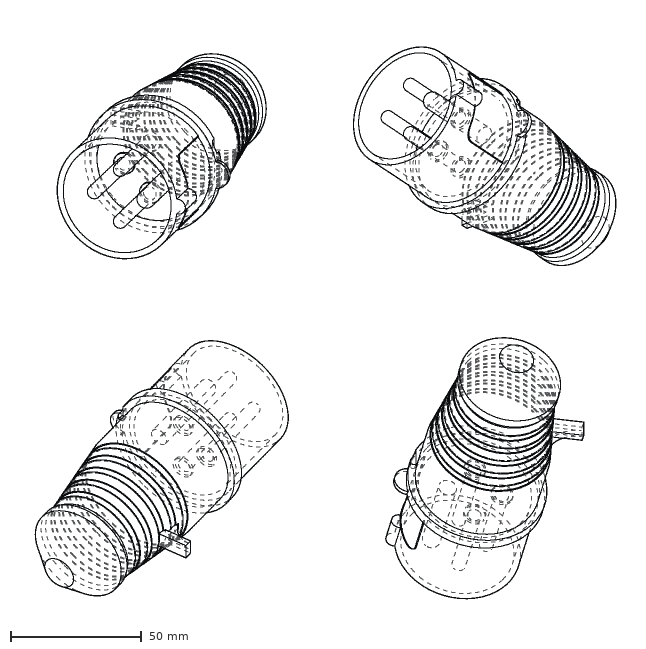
import cadquery as cq
import math

LENGTH = 122.5
MOUTH_Y = -LENGTH / 2
REAR_Y = LENGTH / 2

SHELL_RADIUS = 49.2 / 2
CAVITY_RADIUS = 44.2 / 2
FLANGE_RADIUS = 54.3 / 2
FLANGE_START_Y = MOUTH_Y + 36.5
FLANGE_THICKNESS = 5.0
FLANGE_END_Y = FLANGE_START_Y + FLANGE_THICKNESS
CAVITY_DEPTH = 36.5

RELIEF_RADIUS = 48.5 / 2
RELIEF_WIDTH = 29.9
RELIEF_START_Y = MOUTH_Y + 12.2
RELIEF_CORNER_RADIUS = 4.3

KEY_RADIUS = 3.1
KEY_TIP_X = 27.9
KEY_LENGTH = 12.0
TAB_RADIUS = 5.5
TAB_TIP_X = 31.7
TAB_THICKNESS = 2.0

NOTCH_INNER_X = 24.0
NOTCH_OUTER_X = 26.0
NOTCH_LENGTH = 2.6
NOTCH_FLOOR_Z = 5.5
NOTCH_CORNER_RADIUS = 0.6

PIN_CIRCLE_RADIUS = 10.7
PHASE_PIN_TIP_Y = MOUTH_Y + 1.5
PHASE_PIN_DIAMETER = 5.3
EARTH_PIN_DIAMETER = 7.0
EARTH_PIN_TIP_Y = MOUTH_Y + 0.5
PIN_FLAT_DIAMETER = 2.1
PHASE_PIN_ANGLES = (90, 180, 270)
EARTH_PIN_ANGLE = 0
PIN_COLLAR_DIAMETER = 8.5
PIN_COLLAR_HEIGHT = 1.2

HANDLE_RADIUS = 48.5 / 2
GRIP_START_Y = MOUTH_Y + 64.1
GRIP_END_Y = MOUTH_Y + 103.3
GRIP_END_RADIUS = 18.9
GROOVE_COUNT = 5
GROOVE_FIRST_Y = MOUTH_Y + 68.6
GROOVE_PITCH = 6.9
GROOVE_WIDTH = 2.7
GROOVE_DEPTH = 0.43
REAR_COLLAR_RADIUS = 39.5 / 2
REAR_COLLAR_START_Y = MOUTH_Y + 105.1
REAR_COLLAR_END_Y = MOUTH_Y + 109.1
REAR_TIP_RADIUS = 6.6

ARM_TIP_X = -33.3
ARM_START_Y = MOUTH_Y + 81.5
ARM_THICKNESS = 3.3
ARM_HEIGHT = 6.4
ARM_CENTRE_Z = -1.1
ARM_ROOT_X = -17.2
WEB_THICKNESS = 2.8
WEB_ARC_RADIUS = 10.4
WEB_ARC_CENTRE_X = -32.8


def cylinder(radius, start_y, length, x=0.0, z=0.0):
    """Solid cylinder along +Y."""
    return cq.Workplane("XZ", origin=(x, start_y, z)).circle(radius).extrude(-length)


def block(x_min, x_max, y_min, y_max, height, centre_z=0.0):
    """Box given by its X and Y limits, centred on centre_z."""
    return (
        cq.Workplane("XY", origin=((x_min + x_max) / 2, (y_min + y_max) / 2, centre_z))
        .box(x_max - x_min, y_max - y_min, height)
    )


def lobe(radius, tip_x, start_y, length, root_x):
    """Round-ended lobe that reaches from root_x to tip_x."""
    centre_x = tip_x - radius
    web = block(root_x, centre_x, start_y, start_y + length, 2 * radius)
    return cylinder(radius, start_y, length, x=centre_x).union(web)


def shell_relief():
    """Thin curved pocket in the shell surface, with two rounded corners."""
    window = (
        block(0, FLANGE_RADIUS, RELIEF_START_Y, FLANGE_START_Y, RELIEF_WIDTH)
        .edges("|X and <Y")
        .fillet(RELIEF_CORNER_RADIUS)
    )
    length = FLANGE_START_Y - RELIEF_START_Y
    return window.cut(cylinder(RELIEF_RADIUS, RELIEF_START_Y, length))


def flange_notch():
    """Flat-floored pocket in the flange rim, with rounded inner corners."""
    height = FLANGE_RADIUS - NOTCH_FLOOR_Z
    centre_z = NOTCH_FLOOR_Z + height / 2
    start_y = FLANGE_END_Y - NOTCH_LENGTH
    notch = block(NOTCH_INNER_X, NOTCH_OUTER_X, start_y, FLANGE_END_Y, height, centre_z)
    return notch.edges("|Z and <Y").fillet(NOTCH_CORNER_RADIUS)


def pin(diameter, tip_y, angle):
    """Contact pin with a rounded nose that ends in a small flat."""
    nose = (diameter - PIN_FLAT_DIAMETER) / 2
    x = PIN_CIRCLE_RADIUS * math.cos(math.radians(angle))
    z = PIN_CIRCLE_RADIUS * math.sin(math.radians(angle))
    return cylinder(diameter / 2, tip_y, FLANGE_END_Y - tip_y, x, z).faces("<Y").edges().fillet(nose)


def pin_collar(angle):
    """Low round collar at the foot of a phase pin."""
    x = PIN_CIRCLE_RADIUS * math.cos(math.radians(angle))
    z = PIN_CIRCLE_RADIUS * math.sin(math.radians(angle))
    floor_y = MOUTH_Y + CAVITY_DEPTH
    return cylinder(PIN_COLLAR_DIAMETER / 2, floor_y - PIN_COLLAR_HEIGHT, PIN_COLLAR_HEIGHT, x, z)


def make_plug():
    """Front shell with its flange, notch, key, tab and pins."""
    plug = cylinder(SHELL_RADIUS, MOUTH_Y, FLANGE_START_Y - MOUTH_Y)
    plug = plug.cut(shell_relief())
    plug = plug.union(cylinder(FLANGE_RADIUS, FLANGE_START_Y, FLANGE_THICKNESS))
    plug = plug.cut(flange_notch())
    plug = plug.union(lobe(KEY_RADIUS, KEY_TIP_X, MOUTH_Y, KEY_LENGTH, CAVITY_RADIUS))
    plug = plug.union(lobe(TAB_RADIUS, TAB_TIP_X, FLANGE_START_Y, TAB_THICKNESS, CAVITY_RADIUS))
    plug = plug.cut(cylinder(CAVITY_RADIUS, MOUTH_Y, CAVITY_DEPTH))
    plug = plug.union(pin(EARTH_PIN_DIAMETER, EARTH_PIN_TIP_Y, EARTH_PIN_ANGLE))
    for angle in PHASE_PIN_ANGLES:
        plug = plug.union(pin_collar(angle))
        plug = plug.union(pin(PHASE_PIN_DIAMETER, PHASE_PIN_TIP_Y, angle))
    return plug


def grip_radius(y):
    """Radius of the tapered grip at a given Y."""
    taper = (HANDLE_RADIUS - GRIP_END_RADIUS) / (GRIP_END_Y - GRIP_START_Y)
    return HANDLE_RADIUS - taper * (y - GRIP_START_Y)


def handle_profile():
    """Half outline of the handle as (radius, y) points."""
    points = [
        (0, FLANGE_END_Y),
        (HANDLE_RADIUS, FLANGE_END_Y),
        (HANDLE_RADIUS, GRIP_START_Y),
    ]
    for index in range(GROOVE_COUNT):
        start_y = GROOVE_FIRST_Y + index * GROOVE_PITCH
        end_y = start_y + GROOVE_WIDTH
        points += [
            (grip_radius(start_y), start_y),
            (grip_radius(start_y) - GROOVE_DEPTH, start_y),
            (grip_radius(end_y) - GROOVE_DEPTH, end_y),
            (grip_radius(end_y), end_y),
        ]
    points += [
        (GRIP_END_RADIUS, GRIP_END_Y),
        (REAR_COLLAR_RADIUS, REAR_COLLAR_START_Y),
        (REAR_COLLAR_RADIUS, REAR_COLLAR_END_Y),
        (REAR_TIP_RADIUS, REAR_Y),
        (0, REAR_Y),
    ]
    return points


def catch_arm():
    """Flat arm carried by a web with a concave front edge."""
    arm = block(ARM_TIP_X, ARM_ROOT_X, ARM_START_Y, ARM_START_Y + ARM_THICKNESS, ARM_HEIGHT, ARM_CENTRE_Z)
    arc_centre_y = ARM_START_Y - WEB_ARC_RADIUS
    web = block(WEB_ARC_CENTRE_X, ARM_ROOT_X, arc_centre_y, ARM_START_Y, WEB_THICKNESS, ARM_CENTRE_Z)
    hollow = (
        cq.Workplane("XY", origin=(WEB_ARC_CENTRE_X, arc_centre_y, ARM_CENTRE_Z))
        .circle(WEB_ARC_RADIUS)
        .extrude(WEB_THICKNESS, both=True)
    )
    return arm.union(web.cut(hollow))


def make_handle():
    """Turned handle with a ribbed grip and the catch arm."""
    turned = cq.Workplane("XY").polyline(handle_profile()).close().revolve(360, (0, 0, 0), (0, 1, 0))
    return turned.union(catch_arm())


plug = make_plug()
handle = make_handle()

result = cq.Compound.makeCompound([plug.val(), handle.val()])